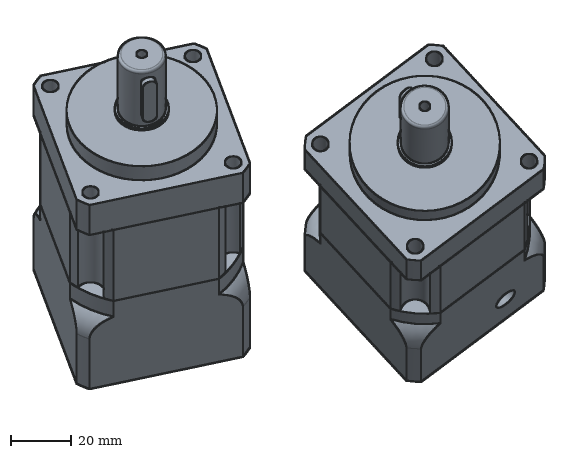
import cadquery as cq
import math

TOTAL_HEIGHT = 127.0
SQUARE_SIDE = 60.0
CORNER_RADIUS = 40.0
WAIST_RADIUS = 35.0
CORNER_OFFSET = 24.6

ADAPTER_HEIGHT = 41.5
ADAPTER_CORNER_HEIGHT = 25.0
BLEND_RADIUS = 10.0
ACCESS_HOLE_DIAMETER = 8.0
ACCESS_HOLE_Y = -10.0
ACCESS_HOLE_Z = 15.0

RING_HEIGHT = 35.4
SPIGOT_DIAMETER = 28.2
FLUTE_RADIUS = 5.0

FLANGE_THICKNESS = 15.0
BOLT_HOLE_DIAMETER = 5.5
PILOT_DIAMETER = 50.0
PILOT_HEIGHT = 7.0
COLLAR_DIAMETER = 18.0
COLLAR_HEIGHT = 1.0
SHAFT_DIAMETER = 16.0
SHAFT_END_FILLET = 1.0
CENTRE_HOLE_DIAMETER = 3.5
CENTRE_HOLE_DEPTH = 8.0
DRILL_POINT_ANGLE = 118.0
KEY_WIDTH = 5.0
KEY_LENGTH = 20.0
KEY_END_GAP = 3.0
KEY_OUTER_X = 10.0

RING_BASE_Z = ADAPTER_HEIGHT
FLANGE_BASE_Z = RING_BASE_Z + RING_HEIGHT
PILOT_BASE_Z = FLANGE_BASE_Z + FLANGE_THICKNESS
COLLAR_BASE_Z = PILOT_BASE_Z + PILOT_HEIGHT
SHAFT_BASE_Z = COLLAR_BASE_Z + COLLAR_HEIGHT

CORNERS = [(sx * CORNER_OFFSET, sy * CORNER_OFFSET) for sx in (-1, 1) for sy in (-1, 1)]


def square_block(base_z, height):
    """Square prism centred on the Z axis."""
    return (
        cq.Workplane("XY", origin=(0, 0, base_z))
        .rect(SQUARE_SIDE, SQUARE_SIDE)
        .extrude(height)
    )


def cylinder(base_z, height, diameter):
    """Cylinder on the Z axis."""
    return cq.Workplane("XY", origin=(0, 0, base_z)).circle(diameter / 2).extrude(height)


def corner_cylinders(base_z, height, diameter):
    """Four cylinders, one on each bolt axis."""
    return (
        cq.Workplane("XY", origin=(0, 0, base_z))
        .pushPoints(CORNERS)
        .circle(diameter / 2)
        .extrude(height)
    )


def adapter_turned_form():
    """Turned form whose radius shrinks along a convex arc to the waist."""
    blend_centre_radius = CORNER_RADIUS - BLEND_RADIUS
    blend_angle = math.acos((WAIST_RADIUS - blend_centre_radius) / BLEND_RADIUS)

    def on_blend(angle):
        return (
            blend_centre_radius + BLEND_RADIUS * math.cos(angle),
            ADAPTER_CORNER_HEIGHT + BLEND_RADIUS * math.sin(angle),
        )

    return (
        cq.Workplane("XZ")
        .lineTo(CORNER_RADIUS, 0)
        .lineTo(CORNER_RADIUS, ADAPTER_CORNER_HEIGHT)
        .threePointArc(on_blend(blend_angle / 2), on_blend(blend_angle))
        .lineTo(WAIST_RADIUS, ADAPTER_HEIGHT)
        .lineTo(0, ADAPTER_HEIGHT)
        .close()
        .revolve(360, (0, 0, 0), (0, 1, 0))
    )


def make_adapter():
    """Square adapter with blended corners, a bore for the spigot and a hole from -X into that bore."""
    body = square_block(0, ADAPTER_HEIGHT).intersect(adapter_turned_form())
    spigot_bore = cylinder(0, ADAPTER_HEIGHT, SPIGOT_DIAMETER)
    access_hole = (
        cq.Workplane("YZ", origin=(-SQUARE_SIDE / 2, ACCESS_HOLE_Y, ACCESS_HOLE_Z))
        .circle(ACCESS_HOLE_DIAMETER / 2)
        .extrude(SQUARE_SIDE / 2)
    )
    return body.cut(spigot_bore).cut(access_hole)


def make_ring_housing():
    """Square ring housing with turned corners, each hollowed by a round flute, on a spigot."""
    turned_form = cylinder(RING_BASE_Z, RING_HEIGHT, 2 * WAIST_RADIUS)
    flutes = corner_cylinders(RING_BASE_Z, RING_HEIGHT, 2 * FLUTE_RADIUS)
    spigot = cylinder(0, ADAPTER_HEIGHT, SPIGOT_DIAMETER)
    return square_block(RING_BASE_Z, RING_HEIGHT).intersect(turned_form).cut(flutes).union(spigot)


def make_flange():
    """Square mounting flange with turned corners and four bolt holes."""
    turned_form = cylinder(FLANGE_BASE_Z, FLANGE_THICKNESS, 2 * CORNER_RADIUS)
    bolt_holes = corner_cylinders(FLANGE_BASE_Z, FLANGE_THICKNESS, BOLT_HOLE_DIAMETER)
    return square_block(FLANGE_BASE_Z, FLANGE_THICKNESS).intersect(turned_form).cut(bolt_holes)


def make_centre_hole():
    """Drilled hole in the shaft end, with a conical bottom."""
    radius = CENTRE_HOLE_DIAMETER / 2
    point_depth = radius / math.tan(math.radians(DRILL_POINT_ANGLE / 2))
    return (
        cq.Workplane("XZ", origin=(0, 0, TOTAL_HEIGHT))
        .lineTo(radius, 0)
        .lineTo(radius, -CENTRE_HOLE_DEPTH)
        .lineTo(0, -CENTRE_HOLE_DEPTH - point_depth)
        .close()
        .revolve(360, (0, 0, 0), (0, 1, 0))
    )


def make_shaft():
    """Output shaft with a rounded end edge and a centre hole."""
    shaft = cylinder(SHAFT_BASE_Z, TOTAL_HEIGHT - SHAFT_BASE_Z, SHAFT_DIAMETER)
    return shaft.faces(">Z").edges().fillet(SHAFT_END_FILLET).cut(make_centre_hole())


def make_key():
    """Round-ended key on the +X side of the shaft."""
    key_centre_z = TOTAL_HEIGHT - KEY_END_GAP - KEY_LENGTH / 2
    key_height = KEY_WIDTH
    return (
        cq.Workplane("YZ", origin=(KEY_OUTER_X - key_height, 0, key_centre_z))
        .slot2D(KEY_LENGTH, KEY_WIDTH, 90)
        .extrude(key_height)
    )


def make_output_unit():
    """Flange, pilot, collar, shaft and key as one solid."""
    pilot = cylinder(PILOT_BASE_Z, PILOT_HEIGHT, PILOT_DIAMETER)
    collar = cylinder(COLLAR_BASE_Z, COLLAR_HEIGHT, COLLAR_DIAMETER)
    return make_flange().union(pilot).union(collar).union(make_shaft()).union(make_key())


adapter = make_adapter()
ring_housing = make_ring_housing()
output_unit = make_output_unit()

result = cq.Compound.makeCompound([adapter.val(), ring_housing.val(), output_unit.val()])